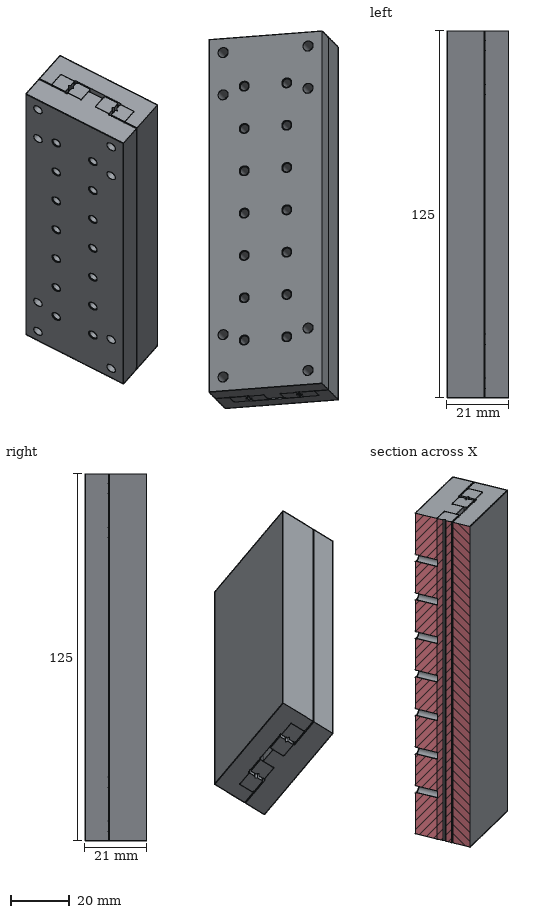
import cadquery as cq

length = 125.0
width = 40.0
height = 21.0

rail_seat = 8.4
relief = 0.4
rail_height = 5.6
rib_top = 12.9
rail_top = rail_seat + rail_height
rail_middle = rail_seat + rail_height / 2

rib_half_width = 2.9
rail_width = 5.6
table_wall = 15.0
inner_rail_face = rib_half_width + rail_width
outer_rail_face = table_wall - rail_width

groove_depth = 0.6
rail_chamfer = 0.2

outer_chamfer = 0.1

hole_pitch = 15.0
mount_hole_diameter = 3.5
mount_hole_x = 15.0
mount_hole_end_offset = 5.0
tapped_hole_diameter = 3.0
tapped_hole_mouth = 3.5
tapped_hole_x = 7.5
tapped_hole_count = 7


def extrude_profile(points):
    """Extrude a closed XY outline along Z, centred on the middle of the length."""
    return cq.Workplane("XY").polyline(points).close().extrude(length / 2, both=True)


def with_mirror(right_half):
    """Complete an outline that is symmetric about the plane X = 0."""
    return right_half + [(-x, y) for x, y in reversed(right_half)]


def on_both_sides(x, z_positions):
    return [(side * x, z) for side in (-1, 1) for z in z_positions]


def mount_hole_points():
    end_z = length / 2 - mount_hole_end_offset
    next_z = end_z - hole_pitch
    return on_both_sides(mount_hole_x, (-end_z, -next_z, next_z, end_z))


def tapped_hole_points():
    first_z = -(tapped_hole_count - 1) / 2 * hole_pitch
    return on_both_sides(tapped_hole_x, [first_z + i * hole_pitch for i in range(tapped_hole_count)])


def base_holes(points, diameter):
    """Cylinders from the outer face of the base up to the rail seat."""
    return cq.Workplane("XZ").pushPoints(points).circle(diameter / 2).extrude(-rail_seat)


def countersink(x, z):
    """45 degree cone that widens the mouth of a tapped hole."""
    mouth_radius = tapped_hole_mouth / 2
    hole_radius = tapped_hole_diameter / 2
    depth = mouth_radius - hole_radius
    return cq.Solid.makeCone(mouth_radius, hole_radius, depth, cq.Vector(x, 0, z), cq.Vector(0, 1, 0))


def make_base():
    """Base plate with a central rib between the two inner rails."""
    base = extrude_profile(with_mirror([
        (width / 2, 0),
        (width / 2, rail_seat - relief),
        (inner_rail_face, rail_seat - relief),
        (inner_rail_face, rail_seat),
        (rib_half_width, rail_seat),
        (rib_half_width, rib_top),
    ]))
    base = base.faces("<Y").chamfer(outer_chamfer)
    base = base.cut(base_holes(mount_hole_points(), mount_hole_diameter))
    base = base.cut(base_holes(tapped_hole_points(), tapped_hole_diameter))
    for x, z in tapped_hole_points():
        base = base.cut(cq.Workplane(countersink(x, z)))
    return base


def make_table():
    """Table that spans the base and holds the two outer rails against its side walls."""
    table = extrude_profile(with_mirror([
        (width / 2, height),
        (width / 2, rail_seat),
        (table_wall, rail_seat),
        (table_wall, rail_top),
        (outer_rail_face, rail_top),
        (outer_rail_face, rail_top + relief),
    ]))
    return table.faces(">Y").chamfer(outer_chamfer)


def make_rail(grooved_x, back_x):
    """Rail with a 90 degree V groove in one side and chamfered long corners."""
    toward_back = 1 if back_x > grooved_x else -1
    rail = extrude_profile([
        (back_x, rail_seat),
        (grooved_x, rail_seat),
        (grooved_x, rail_middle - groove_depth),
        (grooved_x + toward_back * groove_depth, rail_middle),
        (grooved_x, rail_middle + groove_depth),
        (grooved_x, rail_top),
        (back_x, rail_top),
    ])
    for face in ("<Y", ">Y"):
        rail = rail.faces(face).edges("|Z").chamfer(rail_chamfer)
    return rail


base = make_base()
table = make_table()

rails = []
for side in (-1, 1):
    rails.append(make_rail(side * inner_rail_face, side * rib_half_width))
    rails.append(make_rail(side * outer_rail_face, side * table_wall))

result = cq.Compound.makeCompound([base.val(), table.val(), *[rail.val() for rail in rails]])